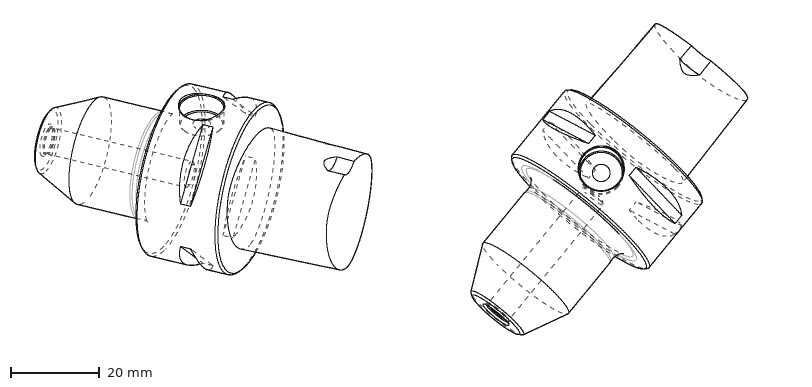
import cadquery as cq
import math

total_length = 74.0
shank_length = 24.0
nose_x = shank_length - total_length

flange_radius = 20.02
flange_width = 20.05
flange_chamfer = 0.5
flange_front_x = -flange_width
recess_outer_radius = 16.65
recess_depth = 0.2

body_radius = 12.5
neck_radius = 12.395
neck_fillet = 3.1
neck_start = 25.6
neck_taper = 0.5
nose_radius = 7.7
nose_chamfer = 0.75
nose_chamfer_length = 0.5
cone_end = 10.7

mouth_radius = 3.8
mouth_depth = 0.5
counterbore_radius = 3.25
counterbore_depth = 0.8
bore_radius = 3.0
bore_depth = 35.5
bore_floor_radius = 2.405
bore_floor_chamfer = bore_radius - bore_floor_radius

shank_front_radius = 14.05
shank_end_radius = 13.5
lobe_height = 0.95
lobe_count = 3
lobe_direction = math.radians(-90)
points_per_shank = 36

screw_x = -12.05
screw_radius = 4.995
screw_mouth_radius = 5.22
screw_mouth_z = 19.3
screw_floor_z = 14.7
screw_floor_radius = 4.7
screw_floor_chamfer = screw_radius - screw_floor_radius
dimple_radius = 2.0
dimple_depth = 1.2

grip_x = -8.1
grip_floor_width = 2.45
grip_floor_distance = 17.7
grip_flank_angle = math.radians(30)
grip_count = 4
grip_first_angle = 45

key_radius = 4.2
key_depth = 1.25
key_length = 4.15
key_tip_length = 1.7
overshoot = 0.75


def revolve_about_x(profile):
    return profile.close().revolve(360, (0, 0, 0), (1, 0, 0))


def turned_body():
    recess_x = flange_front_x + recess_depth
    fillet_start = recess_x - neck_fillet
    fillet_mid = neck_fillet * math.sqrt(0.5)
    neck_x = nose_x + neck_start
    profile = (
        cq.Workplane("XY")
        .moveTo(nose_x, 0)
        .lineTo(nose_x, nose_radius - nose_chamfer)
        .lineTo(nose_x + nose_chamfer_length, nose_radius)
        .lineTo(nose_x + cone_end, body_radius)
        .lineTo(neck_x, body_radius)
        .lineTo(neck_x + neck_taper, neck_radius)
        .lineTo(fillet_start, neck_radius)
        .threePointArc(
            (fillet_start + fillet_mid, neck_radius + neck_fillet - fillet_mid),
            (recess_x, neck_radius + neck_fillet),
        )
        .lineTo(flange_front_x, recess_outer_radius)
        .lineTo(flange_front_x, flange_radius - flange_chamfer)
        .lineTo(flange_front_x + flange_chamfer, flange_radius)
        .lineTo(-flange_chamfer, flange_radius)
        .lineTo(0, flange_radius - flange_chamfer)
        .lineTo(0, 0)
    )
    return revolve_about_x(profile)


def lobed_outline(mean_radius):
    """Three-lobed curve of constant width, as (Y, Z) points."""
    points = []
    for i in range(points_per_shank):
        angle = 2 * math.pi * i / points_per_shank
        phase = lobe_count * (angle - lobe_direction)
        support = mean_radius + lobe_height * math.cos(phase)
        slope = -lobe_count * lobe_height * math.sin(phase)
        y = support * math.cos(angle) - slope * math.sin(angle)
        z = support * math.sin(angle) + slope * math.cos(angle)
        points.append((y, z))
    return points


def lobed_shank():
    taper = (shank_front_radius - shank_end_radius) / shank_length
    start_radius = shank_front_radius + taper * overshoot
    return (
        cq.Workplane("YZ", origin=(-overshoot, 0, 0))
        .spline(lobed_outline(start_radius), periodic=True)
        .close()
        .workplane(offset=shank_length + overshoot)
        .spline(lobed_outline(shank_end_radius), periodic=True)
        .close()
        .loft(ruled=True)
    )


def tool_bore():
    profile = (
        cq.Workplane("XY")
        .moveTo(nose_x, 0)
        .lineTo(nose_x, mouth_radius)
        .lineTo(nose_x + mouth_depth, counterbore_radius)
        .lineTo(nose_x + counterbore_depth, counterbore_radius)
        .lineTo(nose_x + counterbore_depth, bore_radius)
        .lineTo(nose_x + bore_depth - bore_floor_chamfer, bore_radius)
        .lineTo(nose_x + bore_depth, bore_floor_radius)
        .lineTo(nose_x + bore_depth, 0)
    )
    return revolve_about_x(profile)


def clamp_screw_hole():
    mouth_chamfer = screw_mouth_radius - screw_radius
    top = flange_radius + overshoot
    return (
        cq.Workplane("XZ", origin=(screw_x, 0, 0))
        .moveTo(0, top)
        .lineTo(screw_mouth_radius, top)
        .lineTo(screw_mouth_radius, screw_mouth_z)
        .lineTo(screw_radius, screw_mouth_z - mouth_chamfer)
        .lineTo(screw_radius, screw_floor_z + screw_floor_chamfer)
        .lineTo(screw_floor_radius, screw_floor_z)
        .lineTo(dimple_radius, screw_floor_z)
        .lineTo(0, screw_floor_z - dimple_depth)
        .close()
        .revolve(360, (0, 0, 0), (0, 1, 0))
    )


def grip_slot(angle):
    top = flange_radius + overshoot
    floor_half = grip_floor_width / 2
    top_half = floor_half + (top - grip_floor_distance) * math.tan(grip_flank_angle)
    return (
        cq.Workplane("XZ", origin=(grip_x, 0, 0))
        .polyline([
            (-floor_half, grip_floor_distance),
            (floor_half, grip_floor_distance),
            (top_half, top),
            (-top_half, top),
        ])
        .close()
        .extrude(flange_radius, both=True)
        .rotate((0, 0, 0), (1, 0, 0), angle)
    )


def key_groove():
    axis_z = shank_end_radius - lobe_height + key_radius - key_depth
    cone_length = key_tip_length * key_radius / key_depth
    cone_base_x = shank_length - key_length
    profile = (
        cq.Workplane("XY")
        .moveTo(cone_base_x - cone_length, 0)
        .lineTo(cone_base_x, key_radius)
        .lineTo(shank_length + overshoot, key_radius)
        .lineTo(shank_length + overshoot, 0)
    )
    return revolve_about_x(profile).translate((0, 0, axis_z))


shank = lobed_shank().cut(key_groove())
result = turned_body().union(shank).cut(tool_bore()).cut(clamp_screw_hole())
for i in range(grip_count):
    result = result.cut(grip_slot(grip_first_angle + i * 360 / grip_count))